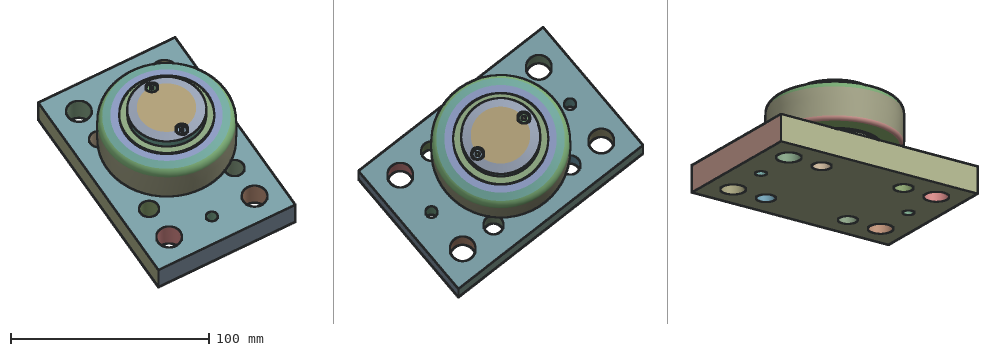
import cadquery as cq

plate_length = 120.0
plate_width = plate_length * 2 / 3
plate_height = 15.0
corner_hole_diameter = 13.0
corner_hole_x = 45.0
inner_hole_diameter = 10.1
inner_hole_x = 25.0
hole_row_y = 25.0
pin_hole_diameter = 6.0

post_radius = 24.0
post_bottom_chamfer = 0.6
post_top_chamfer = 0.4
spacer_height = 0.5

roller_bottom = 25.5
roller_top = 48.4
rim_radius = 35.0
crown_height = 0.1
lower_fillet = 2.0
shoulder_height = 43.5
cone_outer_radius = 32.4
cone_inner_radius = 28.3
cone_drop = 1.1
shoulder_bulge_radius = 34.2
shoulder_bulge_height = 45.8

washer_top = 49.3
cap_radius = 40.0 / 2
cap_flat_radius = 15.0
cap_top = 54.8
cap_bevel_height = 1.1

screw_x = cap_flat_radius
recess_diameter = 6.5
recess_depth = 2.0
screw_head_diameter = 5.4
screw_head_height = 1.2
socket_corner_diameter = 2.3
socket_depth = 1.0


def drill_plate(plate, points, diameter):
    return plate.faces(">Z").workplane(origin=(0, 0, plate_height)).pushPoints(points).hole(diameter)


def make_plate():
    plate = cq.Workplane("XY").box(plate_length, plate_width, plate_height, centered=(True, True, False))
    corner_points = [(sx * corner_hole_x, sy * hole_row_y) for sx in (-1, 1) for sy in (-1, 1)]
    inner_points = [(sx * inner_hole_x, sy * hole_row_y) for sx in (-1, 1) for sy in (-1, 1)]
    pin_points = [(-corner_hole_x, 0), (corner_hole_x, 0)]
    plate = drill_plate(plate, corner_points, corner_hole_diameter)
    plate = drill_plate(plate, inner_points, inner_hole_diameter)
    return drill_plate(plate, pin_points, pin_hole_diameter)


def make_post():
    post = cq.Workplane("XY").workplane(offset=plate_height).circle(post_radius)
    post = post.extrude(roller_bottom - spacer_height - plate_height)
    post = post.faces("<Z").chamfer(post_bottom_chamfer)
    post = post.faces(">Z").chamfer(post_top_chamfer)
    spacer = cq.Workplane("XY").workplane(offset=roller_bottom - spacer_height).circle(post_radius)
    return post.union(spacer.extrude(spacer_height))


def make_roller():
    rim_bottom = roller_bottom + lower_fillet
    profile = (
        cq.Workplane("XZ")
        .moveTo(0, roller_bottom)
        .lineTo(rim_radius - lower_fillet, roller_bottom)
        .radiusArc((rim_radius, rim_bottom), -lower_fillet)
        .threePointArc(
            (rim_radius + crown_height, (rim_bottom + shoulder_height) / 2),
            (rim_radius, shoulder_height),
        )
        .threePointArc(
            (shoulder_bulge_radius, shoulder_bulge_height),
            (cone_outer_radius, roller_top - cone_drop),
        )
        .lineTo(cone_inner_radius, roller_top)
        .lineTo(0, roller_top)
        .close()
    )
    return profile.revolve(360, (0, 0), (0, 1))


def make_cap():
    washer = cq.Workplane("XY").workplane(offset=roller_top).circle(post_radius)
    washer = washer.extrude(washer_top - roller_top)
    cap = cq.Workplane("XY").workplane(offset=washer_top).circle(cap_radius)
    cap = cap.extrude(cap_top - washer_top)
    cap = cap.faces(">Z").chamfer(cap_bevel_height, cap_radius - cap_flat_radius)
    return washer.union(cap)


def at_screws(bottom):
    return cq.Workplane("XY").workplane(offset=bottom).pushPoints([(-screw_x, 0), (screw_x, 0)])


def add_screws(body):
    recess_floor = cap_top - recess_depth
    socket_floor = recess_floor + screw_head_height - socket_depth
    recesses = at_screws(recess_floor).circle(recess_diameter / 2).extrude(recess_depth)
    heads = at_screws(recess_floor).circle(screw_head_diameter / 2).extrude(screw_head_height)
    hexagon = cq.Sketch().regularPolygon(socket_corner_diameter / 2, 6)
    sockets = at_screws(socket_floor).placeSketch(hexagon).extrude(socket_depth)
    return body.cut(recesses).union(heads).cut(sockets)


body = make_plate().union(make_post()).union(make_roller()).union(make_cap())
result = add_screws(body)